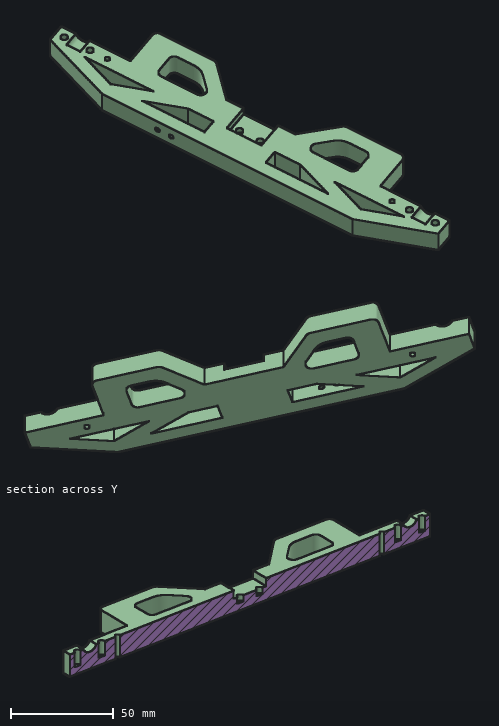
import cadquery as cq
import math

LENGTH = 225.0
DEPTH = 47.43
THICKNESS = 12.5
HALF_LENGTH = LENGTH / 2

SWEEP_RUN = 40.0
ARM_FRONT_Y = 15.0
SWEEP_SLOPE = ARM_FRONT_Y / SWEEP_RUN
ARM_WIDTH = 10.0
FRONT_HALF = HALF_LENGTH - SWEEP_RUN
ARM_BACK_Y = ARM_FRONT_Y + ARM_WIDTH
CENTRE_BACK_Y = 30.0
CENTRE_BACK_HALF = 20.0
TOWER_CORNER_RADIUS = 3.0
TOWER_FLANK_RADIUS = 4.0
TOWER_INNER_X = CENTRE_BACK_HALF + DEPTH - CENTRE_BACK_Y

WINDOW_OUTER_X = 57.5
WINDOW_INNER_X = 30.7
WINDOW_WALL = 8.0
WINDOW_BACK_Y = DEPTH - WINDOW_WALL
WINDOW_FLANK_Y = CENTRE_BACK_Y + WINDOW_INNER_X - CENTRE_BACK_HALF - WINDOW_WALL * math.sqrt(2)
WINDOW_CORNER_RADIUS = 3.0
WINDOW_FLANK_RADIUS = 10.0

TRIANGLE_HALF_WIDTH = 20.0
SLOT_INNER_X = 17.75
SLOT_BEND_X = 32.5
SLOT_FRONT_Y = 7.0

POCKET_HALF_WIDTH = 10.0
POCKET_DEPTH = 4.5
POCKET_HOLE_X = 6.0

HOLE_ROW_Y = ARM_FRONT_Y + ARM_WIDTH / 2
GROOVE_X = 100.0
GROOVE_WIDTH = 8.0
GROOVE_DEPTH = 2.75
GROOVE_LENGTH = 8.3
GROOVE_RADIUS = ((GROOVE_WIDTH / 2) ** 2 + GROOVE_DEPTH ** 2) / (2 * GROOVE_DEPTH)
MOUNT_HOLE_OFFSET = 7.5
MOUNT_HOLE_DIAMETER = 3.5
MOUNT_HOLE_DEPTH = 8.0
PIN_HOLE_X = 82.5
PIN_HOLE_DIAMETER = 2.5

FRONT_HOLE_XS = (-40.5, -32.5)
FRONT_HOLE_DIAMETER = 2.5

SIDES = (-1, 1)


def prism(points, side=1):
    """Full-thickness prism over an outline whose X values are scaled by side."""
    outline = [(side * x, y) for x, y in points]
    return cq.Workplane("XY").polyline(outline).close().extrude(THICKNESS)


def round_corners(body, corners, radius):
    """Fillet the vertical edges standing at the given XY corners."""
    for x, y in corners:
        corner_edge = cq.NearestToPointSelector((x, y, THICKNESS / 2))
        body = body.edges(corner_edge).fillet(radius)
    return body


def make_plate():
    right_half = [
        (FRONT_HALF, 0),
        (HALF_LENGTH, ARM_FRONT_Y),
        (HALF_LENGTH, ARM_BACK_Y),
        (FRONT_HALF, ARM_BACK_Y),
        (FRONT_HALF, DEPTH),
        (TOWER_INNER_X, DEPTH),
        (CENTRE_BACK_HALF, CENTRE_BACK_Y),
    ]
    left_half = [(-x, y) for x, y in reversed(right_half)]
    plate = prism(right_half + left_half)
    tower_corners = [(side * FRONT_HALF, DEPTH) for side in SIDES]
    flank_corners = [(side * TOWER_INNER_X, DEPTH) for side in SIDES]
    plate = round_corners(plate, tower_corners, TOWER_CORNER_RADIUS)
    return round_corners(plate, flank_corners, TOWER_FLANK_RADIUS)


def make_window(side):
    flank_run = WINDOW_BACK_Y - WINDOW_FLANK_Y
    flank_top = (WINDOW_INNER_X + flank_run, WINDOW_BACK_Y)
    window = prism(
        [
            (WINDOW_OUTER_X, ARM_BACK_Y),
            (WINDOW_OUTER_X, WINDOW_BACK_Y),
            flank_top,
            (WINDOW_INNER_X, WINDOW_FLANK_Y),
            (WINDOW_INNER_X, ARM_BACK_Y),
        ],
        side,
    )
    flank_corner = (side * flank_top[0], flank_top[1])
    window = round_corners(window, [flank_corner], WINDOW_FLANK_RADIUS)
    outer_edges = window.edges("|Z").edges("<X or >X")
    return outer_edges.fillet(WINDOW_CORNER_RADIUS)


def make_triangle(side):
    return prism(
        [
            (FRONT_HALF - TRIANGLE_HALF_WIDTH, ARM_FRONT_Y),
            (FRONT_HALF + TRIANGLE_HALF_WIDTH, ARM_FRONT_Y),
            (FRONT_HALF, ARM_FRONT_Y - TRIANGLE_HALF_WIDTH * SWEEP_SLOPE),
        ],
        side,
    )


def make_slot(side):
    slot_tip_x = SLOT_BEND_X + (ARM_FRONT_Y - SLOT_FRONT_Y) / SWEEP_SLOPE
    return prism(
        [
            (SLOT_INNER_X, SLOT_FRONT_Y),
            (SLOT_INNER_X, ARM_FRONT_Y),
            (SLOT_BEND_X, ARM_FRONT_Y),
            (slot_tip_x, SLOT_FRONT_Y),
        ],
        side,
    )


def make_groove(side):
    """Round-bottomed groove running forward from the back edge of the arm."""
    axis_z = THICKNESS - GROOVE_DEPTH + GROOVE_RADIUS
    profile = cq.Workplane("XZ", origin=(side * GROOVE_X, ARM_BACK_Y, axis_z))
    return profile.circle(GROOVE_RADIUS).extrude(GROOVE_LENGTH)


def make_pocket():
    width = 2 * POCKET_HALF_WIDTH
    length = CENTRE_BACK_Y - ARM_FRONT_Y
    corner = (-POCKET_HALF_WIDTH, ARM_FRONT_Y, THICKNESS - POCKET_DEPTH)
    return cq.Workplane("XY").box(width, length, POCKET_DEPTH, centered=False).translate(corner)


def make_row_hole(x, diameter, depth):
    """Vertical hole on the arm centreline, drilled down from the top plane."""
    plane = cq.Workplane("XY", origin=(x, HOLE_ROW_Y, THICKNESS))
    return plane.circle(diameter / 2).extrude(-depth)


def make_front_hole(x):
    plane = cq.Workplane("XZ", origin=(x, 0, THICKNESS / 2))
    return plane.circle(FRONT_HOLE_DIAMETER / 2).extrude(-SLOT_FRONT_Y)


result = make_plate().cut(make_pocket())

for side in SIDES:
    for make_opening in (make_window, make_triangle, make_slot, make_groove):
        result = result.cut(make_opening(side))
    for mount_x in (GROOVE_X - MOUNT_HOLE_OFFSET, GROOVE_X + MOUNT_HOLE_OFFSET):
        result = result.cut(make_row_hole(side * mount_x, MOUNT_HOLE_DIAMETER, MOUNT_HOLE_DEPTH))
    result = result.cut(make_row_hole(side * POCKET_HOLE_X, MOUNT_HOLE_DIAMETER, MOUNT_HOLE_DEPTH))
    result = result.cut(make_row_hole(side * PIN_HOLE_X, PIN_HOLE_DIAMETER, THICKNESS))

for hole_x in FRONT_HOLE_XS:
    result = result.cut(make_front_hole(hole_x))